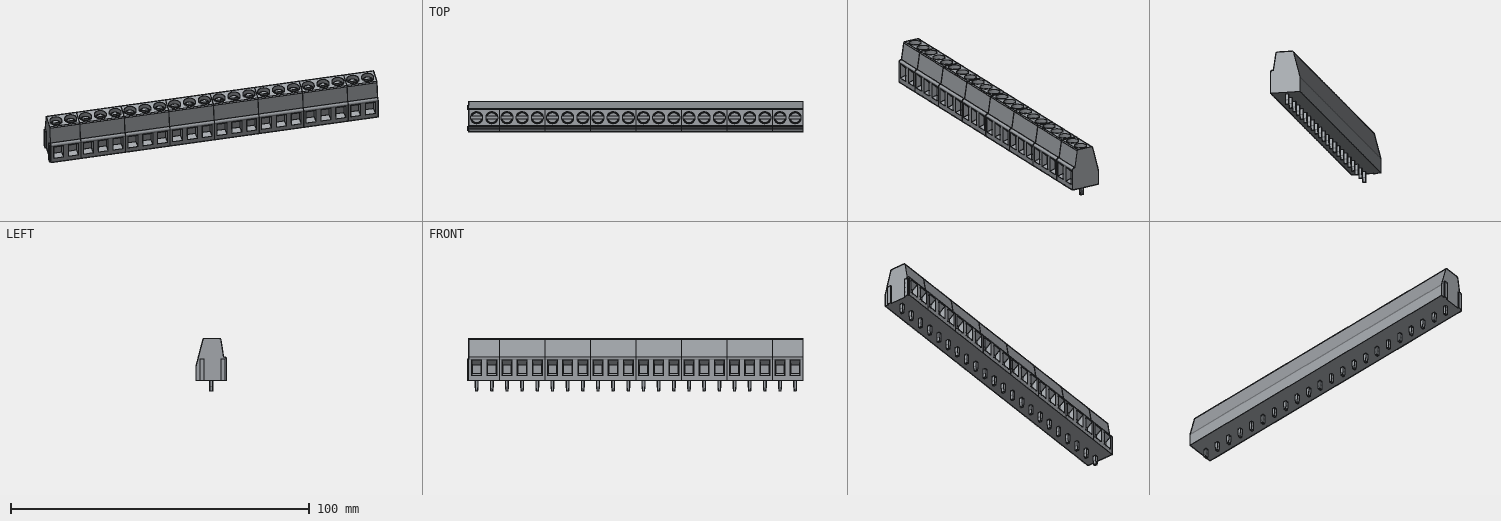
import cadquery as cq
import math


total_length = 112.4
total_height = 17.6
rib_projection = 0.5
pole_count = 22
first_to_last_pole = 106.6
end_module_poles = 2
inner_module_poles = 3

pole_pitch = first_to_last_pole / (pole_count - 1)
body_length = total_length - rib_projection
body_start_x = -body_length / 2
pole_xs = [i * pole_pitch - first_to_last_pole / 2 for i in range(pole_count)]

body_depth = 10.2
body_height = 14.2
front_y = -body_depth / 2
back_y = body_depth / 2
back_slope_z = 5.0
top_back_y = 2.5
top_front_y = -2.9
top_chamfer_width = 0.3
top_chamfer_drop = 0.3
ledge_z = 8.0
ledge_inner_y = -4.2
ledge_radius = 0.8

rib_top_z = 7.2
rib_width = 1.3
rib_center_ys = (3.1, -3.9)

entry_width = 3.4
entry_bottom_z = 1.8
entry_top_z = 7.0
entry_depth = 1.8
entry_inner_width = 2.8
entry_inner_bottom_z = 2.5
entry_inner_top_z = 5.2

screw_y = -0.3
well_diameter = 4.0
screw_diameter = 3.4
screw_sink = 1.3
slot_width = 1.0
slot_depth = 0.7
well_depth = screw_sink + slot_depth

pin_size = 1.0
pin_length = total_height - body_height
pin_tip_length = 1.5
pin_tip_width = 0.7

joint_width = 0.06
joint_depth = 0.06


def housing_outline():
    """Cross-section of the housing as a closed wire in the YZ plane."""
    arc_shift = ledge_radius * (1 - math.cos(math.pi / 4))
    return (
        cq.Workplane("YZ")
        .moveTo(front_y, 0)
        .lineTo(back_y, 0)
        .lineTo(back_y, back_slope_z)
        .lineTo(top_back_y + top_chamfer_width, body_height - top_chamfer_drop)
        .lineTo(top_back_y, body_height)
        .lineTo(top_front_y, body_height)
        .lineTo(top_front_y - top_chamfer_width, body_height - top_chamfer_drop)
        .lineTo(ledge_inner_y, ledge_z)
        .lineTo(front_y + ledge_radius, ledge_z)
        .threePointArc((front_y + arc_shift, ledge_z - arc_shift), (front_y, ledge_z - ledge_radius))
        .close()
    )


def housing():
    """Plain housing with its end ribs, half of each rib sunk into the end face."""
    body = housing_outline().extrude(body_length).translate((body_start_x, 0, 0))
    for rib_y in rib_center_ys:
        rib = cq.Workplane("XY").box(2 * rib_projection, rib_width, rib_top_z, centered=(True, True, False))
        body = body.union(rib.translate((body_start_x, rib_y, 0)))
    return body


def wire_entry():
    """Funnel that narrows from the front face inwards, mostly at its ceiling."""
    outer_center_z = (entry_bottom_z + entry_top_z) / 2
    inner_center_z = (entry_inner_bottom_z + entry_inner_top_z) / 2
    return (
        cq.Workplane("XZ", origin=(0, front_y, 0))
        .center(0, outer_center_z)
        .rect(entry_width, entry_top_z - entry_bottom_z)
        .workplane(offset=-entry_depth)
        .center(0, inner_center_z - outer_center_z)
        .rect(entry_inner_width, entry_inner_top_z - entry_inner_bottom_z)
        .loft(ruled=True)
    )


def screw_well():
    """Space around and above a slotted screw head, including its slot along X."""
    well = cq.Workplane("XY").circle(well_diameter / 2).extrude(well_depth)
    head = cq.Workplane("XY").circle(screw_diameter / 2).extrude(slot_depth)
    slot = cq.Workplane("XY").rect(screw_diameter, slot_width).extrude(slot_depth)
    return well.cut(head.cut(slot)).translate((0, screw_y, body_height - well_depth))


def solder_pin():
    """Square pin with a tip that narrows along X only."""
    half = pin_size / 2
    tip_half = pin_tip_width / 2
    shoulder_z = pin_tip_length - pin_length
    return (
        cq.Workplane("XZ")
        .polyline([
            (-half, 0),
            (half, 0),
            (half, shoulder_z),
            (tip_half, -pin_length),
            (-tip_half, -pin_length),
            (-half, shoulder_z),
        ])
        .close()
        .extrude(half, both=True)
    )


def joint_groove():
    """Thin groove over the top and down the front, where two modules meet."""
    slab = housing_outline().extrude(joint_width / 2, both=True)
    core = slab.translate((0, joint_depth, -joint_depth))
    behind = cq.Workplane("XY").box(body_depth, body_depth, body_height, centered=(True, False, False))
    below = cq.Workplane("XY").box(body_depth, body_depth, 2 * joint_depth)
    return slab.cut(core).cut(behind.translate((0, top_back_y, 0))).cut(below)


def joint_xs():
    """X position of every joint, counted in from the first pole."""
    first_joint = pole_xs[0] + (end_module_poles - 0.5) * pole_pitch
    inner_module_count = (pole_count - 2 * end_module_poles) // inner_module_poles
    return [first_joint + i * inner_module_poles * pole_pitch for i in range(inner_module_count + 1)]


entry = wire_entry()
well = screw_well()
groove = joint_groove()
pin = solder_pin()

result = housing()
for x in joint_xs():
    result = result.cut(groove.translate((x, 0, 0)))
for x in pole_xs:
    result = result.cut(entry.translate((x, 0, 0)))
    result = result.cut(well.translate((x, 0, 0)))
    result = result.union(pin.translate((x, 0, 0)))